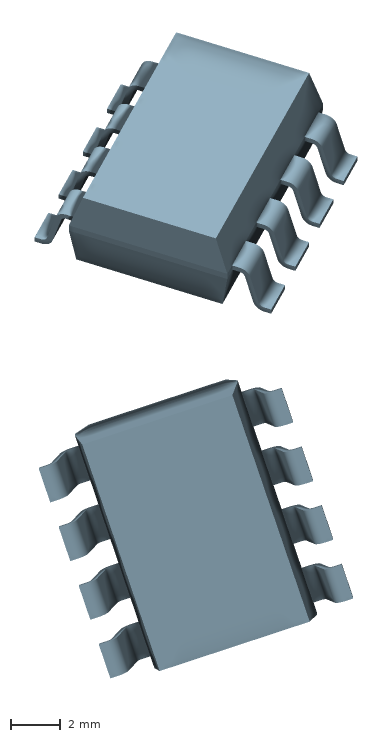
import cadquery as cq
import math

span = 10.31
height = 3.91

body_width = 6.91
body_length = 10.06
standoff = 0.12
band_bottom = 1.86
band_top = 2.17
top_inset_x = 0.56
bottom_inset_x = 0.27
inset_y = 0.13

lead_count = 4
lead_pitch = 2.54
lead_width = 1.45
lead_thickness = 0.25
inner_bend_radius = 0.25
outer_bend_radius = inner_bend_radius + lead_thickness
bend_angle = math.radians(75)
foot_length = 0.3
lead_top = band_top

marker_diameter = 0.34
marker_depth = 0.1
marker_x = -2.01
marker_y = 3.78


def make_taper(start_z, end_z, inset_x):
    """Frustum from the band outline at start_z to a smaller rectangle at end_z."""
    return (
        cq.Workplane("XY", origin=(0, 0, start_z))
        .rect(body_width, body_length)
        .workplane(offset=end_z - start_z)
        .rect(body_width - 2 * inset_x, body_length - 2 * inset_y)
        .loft(ruled=True)
    )


def make_marker():
    return (
        cq.Workplane("XY", origin=(marker_x, marker_y, height - marker_depth))
        .circle(marker_diameter / 2)
        .extrude(marker_depth)
    )


def make_housing(marker):
    band = (
        cq.Workplane("XY", origin=(0, 0, band_bottom))
        .rect(body_width, body_length)
        .extrude(band_top - band_bottom)
    )
    upper = make_taper(band_top, height, top_inset_x)
    lower = make_taper(band_bottom, standoff, bottom_inset_x)
    return band.union(upper).union(lower).cut(marker)


def bend_point(center, radius, angle):
    """Point on a bend, with the angle measured from straight up, toward +X."""
    return (center[0] + radius * math.sin(angle), center[1] + radius * math.cos(angle))


def make_lead(center_y):
    """Lead on the +X side: shoulder, upper bend, sloping leg, lower bend and foot."""
    rise = lead_top - lead_thickness
    radius_sum = inner_bend_radius + outer_bend_radius
    leg_length = (rise - radius_sum * (1 - math.cos(bend_angle))) / math.sin(bend_angle)
    bends_run = radius_sum * math.sin(bend_angle) + leg_length * math.cos(bend_angle)

    tip_x = span / 2
    wall_x = body_width / 2
    lower_center = (tip_x - foot_length, outer_bend_radius)
    upper_center = (lower_center[0] - bends_run, lead_top - outer_bend_radius)

    def upper_bend(radius, fraction):
        return bend_point(upper_center, radius, fraction * bend_angle)

    def lower_bend(radius, fraction):
        return bend_point(lower_center, radius, math.pi + fraction * bend_angle)

    return (
        cq.Workplane("XZ", origin=(0, center_y + lead_width / 2, 0))
        .moveTo(wall_x, lead_top)
        .lineTo(*upper_bend(outer_bend_radius, 0))
        .threePointArc(upper_bend(outer_bend_radius, 0.5), upper_bend(outer_bend_radius, 1))
        .lineTo(*lower_bend(inner_bend_radius, 1))
        .threePointArc(lower_bend(inner_bend_radius, 0.5), lower_bend(inner_bend_radius, 0))
        .lineTo(tip_x, lead_thickness)
        .lineTo(tip_x, 0)
        .lineTo(*lower_bend(outer_bend_radius, 0))
        .threePointArc(lower_bend(outer_bend_radius, 0.5), lower_bend(outer_bend_radius, 1))
        .lineTo(*upper_bend(inner_bend_radius, 1))
        .threePointArc(upper_bend(inner_bend_radius, 0.5), upper_bend(inner_bend_radius, 0))
        .lineTo(wall_x, lead_top - lead_thickness)
        .close()
        .extrude(lead_width)
    )


def make_leads():
    leads = []
    for index in range(lead_count):
        center_y = (index - (lead_count - 1) / 2) * lead_pitch
        right_lead = make_lead(center_y)
        leads.append(right_lead.val())
        leads.append(right_lead.mirror("YZ").val())
    return leads


marker = make_marker()
housing = make_housing(marker)
leads = make_leads()

result = cq.Compound.makeCompound([housing.val(), marker.val(), *leads])